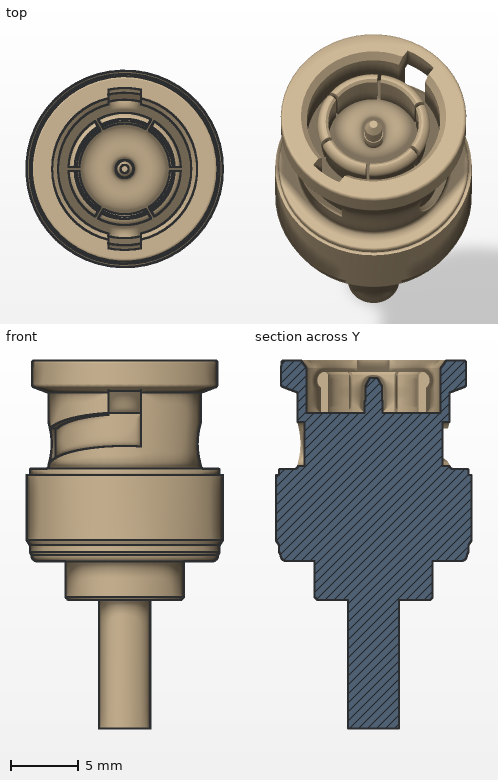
import cadquery as cq
import math

TOTAL_HEIGHT = 27.33

CABLE_RADIUS = 1.9
CRIMP_RADIUS = 4.4
CRIMP_BOTTOM_Z = 9.55
CRIMP_CHAMFER = 0.22

GRIP_RADIUS = 7.3
GRIP_BOTTOM_Z = 14.0
GRIP_TOP_Z = 18.83
BAND_RADIUS = 7.05
BODY_BOTTOM_Z = 12.4
BODY_TOP_Z = 19.3
BODY_TOP_ROUND = 0.16
GRIP_CHAMFER_HEIGHT = 0.38
TAPER_TOP_Z = 13.12
TAPER_BOTTOM_Z = 12.9
TAPER_STEP = 0.1
BODY_BOTTOM_ROUND = TAPER_BOTTOM_Z - BODY_BOTTOM_Z

NECK_RADIUS = 5.65
NECK_FILLET = 0.2

HEAD_RADIUS = 6.9
HEAD_BOTTOM_Z = 24.92
HEAD_CONE_TOP_Z = 25.4
HEAD_TOP_ROUND = 0.22
HEAD_BOTTOM_ROUND = 0.25
EDGE_MARGIN = 0.03

BORE_RADIUS = 4.95
BORE_FLOOR_Z = 23.42
MOUTH_RADIUS = 5.38
MOUTH_DEPTH = 0.6

TRACK_FLOOR_RADIUS = 5.15
TRACK_WIDTH = 2.4
TRACK_ANGLE = 15.0
ENTRY_REACH = 6.0
LOCK_HOLE_RADIUS = 1.6
LOCK_HOLE_Z = 21.13

CONTACT_TOP_Z = 26.45
CONTACT_INNER_RADIUS = 3.35
CONTACT_OUTER_RADIUS = 3.9
CONTACT_LIP_RADIUS = 4.15
CONTACT_LIP_TOP_RADIUS = 3.72
CONTACT_LIP_Z = 25.95
CONTACT_LIP_BOTTOM_Z = 25.28
CONTACT_MOUTH_CHAMFER = 0.2
CONTACT_SLIT = 0.27
CONTACT_SLIT_COUNT = 6

PIN_RADIUS = 0.63
PIN_TIP_RADIUS = 0.3
PIN_COLLAR_RADIUS = 0.68
PIN_COLLAR_TOP_Z = 24.32
PIN_CONE_Z = 25.42
PIN_TOP_Z = 26.02


def turn(profile):
    """Revolve a closed radius-height profile a full turn about Z."""
    return profile.close().revolve(360, (0, 0, 0), (0, 1, 0))


def fillet_middle(radius):
    """Distance from the corner lines to the middle of a quarter round."""
    return radius * (1 - math.sqrt(0.5))


def outer_body():
    """Cable, crimp sleeve, grip, neck and head as one solid of revolution."""
    lower_band = BAND_RADIUS - TAPER_STEP
    neck_mid = fillet_middle(NECK_FILLET)
    top_mid = fillet_middle(BODY_TOP_ROUND)
    bottom_mid = fillet_middle(BODY_BOTTOM_ROUND)
    profile = (
        cq.Workplane("XZ")
        .moveTo(0, 0)
        .lineTo(CABLE_RADIUS, 0)
        .lineTo(CABLE_RADIUS, CRIMP_BOTTOM_Z)
        .lineTo(CRIMP_RADIUS - CRIMP_CHAMFER, CRIMP_BOTTOM_Z)
        .lineTo(CRIMP_RADIUS, CRIMP_BOTTOM_Z + CRIMP_CHAMFER)
        .lineTo(CRIMP_RADIUS, BODY_BOTTOM_Z)
        .lineTo(lower_band - BODY_BOTTOM_ROUND, BODY_BOTTOM_Z)
        .threePointArc(
            (lower_band - bottom_mid, BODY_BOTTOM_Z + bottom_mid),
            (lower_band, TAPER_BOTTOM_Z),
        )
        .lineTo(BAND_RADIUS, TAPER_TOP_Z)
        .lineTo(BAND_RADIUS, GRIP_BOTTOM_Z - GRIP_CHAMFER_HEIGHT)
        .lineTo(GRIP_RADIUS, GRIP_BOTTOM_Z)
        .lineTo(GRIP_RADIUS, GRIP_TOP_Z)
        .lineTo(BAND_RADIUS, GRIP_TOP_Z)
        .lineTo(BAND_RADIUS, BODY_TOP_Z - BODY_TOP_ROUND)
        .threePointArc(
            (BAND_RADIUS - top_mid, BODY_TOP_Z - top_mid),
            (BAND_RADIUS - BODY_TOP_ROUND, BODY_TOP_Z),
        )
        .lineTo(NECK_RADIUS + NECK_FILLET, BODY_TOP_Z)
        .threePointArc(
            (NECK_RADIUS + neck_mid, BODY_TOP_Z + neck_mid),
            (NECK_RADIUS, BODY_TOP_Z + NECK_FILLET),
        )
        .lineTo(NECK_RADIUS, HEAD_BOTTOM_Z)
        .lineTo(HEAD_RADIUS, HEAD_CONE_TOP_Z)
        .lineTo(HEAD_RADIUS, TOTAL_HEIGHT)
        .lineTo(0, TOTAL_HEIGHT)
    )
    body = turn(profile)
    body = body.faces(">Z").edges().fillet(HEAD_TOP_ROUND)
    box_half = HEAD_RADIUS + EDGE_MARGIN
    head_lower_edge = cq.selectors.BoxSelector(
        (-box_half, -box_half, HEAD_CONE_TOP_Z - EDGE_MARGIN),
        (box_half, box_half, HEAD_CONE_TOP_Z + EDGE_MARGIN),
        boundingbox=True,
    )
    return body.edges(head_lower_edge).fillet(HEAD_BOTTOM_ROUND)


def mating_bore():
    """Bore of the head with its flared mouth."""
    profile = (
        cq.Workplane("XZ")
        .moveTo(0, BORE_FLOOR_Z)
        .lineTo(BORE_RADIUS, BORE_FLOOR_Z)
        .lineTo(BORE_RADIUS, TOTAL_HEIGHT - MOUTH_DEPTH)
        .lineTo(MOUTH_RADIUS, TOTAL_HEIGHT)
        .lineTo(0, TOTAL_HEIGHT)
    )
    return turn(profile)


def bayonet_track():
    """Entry slot on -Y, sloping track and round lock hole on -X."""
    angle = math.radians(TRACK_ANGLE)
    half_width = TRACK_WIDTH / 2

    start_y = -LOCK_HOLE_RADIUS * math.sin(angle)
    start_z = LOCK_HOLE_Z - LOCK_HOLE_RADIUS * math.cos(angle)
    end_z = start_z + (ENTRY_REACH + start_y) * math.tan(angle)
    height = TRACK_WIDTH / math.cos(angle)
    slope = (
        cq.Workplane("YZ")
        .workplane(offset=-ENTRY_REACH)
        .moveTo(start_y, start_z)
        .lineTo(-ENTRY_REACH, end_z)
        .lineTo(-ENTRY_REACH, end_z + height)
        .lineTo(start_y, start_z + height)
        .close()
        .extrude(ENTRY_REACH + half_width)
    )
    lock_hole = (
        cq.Workplane("YZ")
        .workplane(offset=-ENTRY_REACH)
        .center(0, LOCK_HOLE_Z)
        .circle(LOCK_HOLE_RADIUS)
        .extrude(ENTRY_REACH)
    )
    entry_bottom = start_z + (NECK_RADIUS + start_y) * math.tan(angle)
    corner_y = -math.sqrt(ENTRY_REACH**2 - half_width**2)
    entry_slot = (
        cq.Workplane("XY")
        .workplane(offset=entry_bottom)
        .moveTo(-half_width, 0)
        .lineTo(half_width, 0)
        .lineTo(half_width, corner_y)
        .threePointArc((0, -ENTRY_REACH), (-half_width, corner_y))
        .close()
        .extrude(TOTAL_HEIGHT - entry_bottom)
    )
    solid_core = (
        cq.Workplane("XY")
        .workplane(offset=BODY_TOP_Z)
        .circle(TRACK_FLOOR_RADIUS)
        .extrude(BORE_FLOOR_Z - BODY_TOP_Z)
    )
    return slope.union(lock_hole).union(entry_slot).cut(solid_core)


def outer_contact():
    """Slit spring sleeve with a rounded lip."""
    profile = (
        cq.Workplane("XZ")
        .moveTo(CONTACT_INNER_RADIUS, BORE_FLOOR_Z)
        .lineTo(CONTACT_OUTER_RADIUS, BORE_FLOOR_Z)
        .lineTo(CONTACT_OUTER_RADIUS, CONTACT_LIP_BOTTOM_Z)
        .threePointArc((CONTACT_LIP_RADIUS, CONTACT_LIP_Z), (CONTACT_LIP_TOP_RADIUS, CONTACT_TOP_Z))
        .lineTo(CONTACT_INNER_RADIUS + CONTACT_MOUTH_CHAMFER, CONTACT_TOP_Z)
        .lineTo(CONTACT_INNER_RADIUS, CONTACT_TOP_Z - CONTACT_MOUTH_CHAMFER)
    )
    sleeve = turn(profile)
    slit_length = 2 * BORE_RADIUS
    for index in range(CONTACT_SLIT_COUNT // 2):
        slit = (
            cq.Workplane("XY")
            .workplane(offset=BORE_FLOOR_Z)
            .rect(slit_length, CONTACT_SLIT)
            .extrude(TOTAL_HEIGHT - BORE_FLOOR_Z)
            .rotate((0, 0, 0), (0, 0, 1), index * 360 / CONTACT_SLIT_COUNT)
        )
        sleeve = sleeve.cut(slit)
    return sleeve


def centre_pin():
    """Centre contact with a base collar and a conical tip."""
    profile = (
        cq.Workplane("XZ")
        .moveTo(0, BORE_FLOOR_Z)
        .lineTo(PIN_COLLAR_RADIUS, BORE_FLOOR_Z)
        .lineTo(PIN_COLLAR_RADIUS, PIN_COLLAR_TOP_Z)
        .lineTo(PIN_RADIUS, PIN_COLLAR_TOP_Z)
        .lineTo(PIN_RADIUS, PIN_CONE_Z)
        .lineTo(PIN_TIP_RADIUS, PIN_TOP_Z)
        .lineTo(0, PIN_TOP_Z)
    )
    return turn(profile)


track = bayonet_track()
opposite_track = track.rotate((0, 0, 0), (0, 0, 1), 180)
shell = outer_body().cut(mating_bore()).cut(track).cut(opposite_track)
result = shell.union(outer_contact()).union(centre_pin())